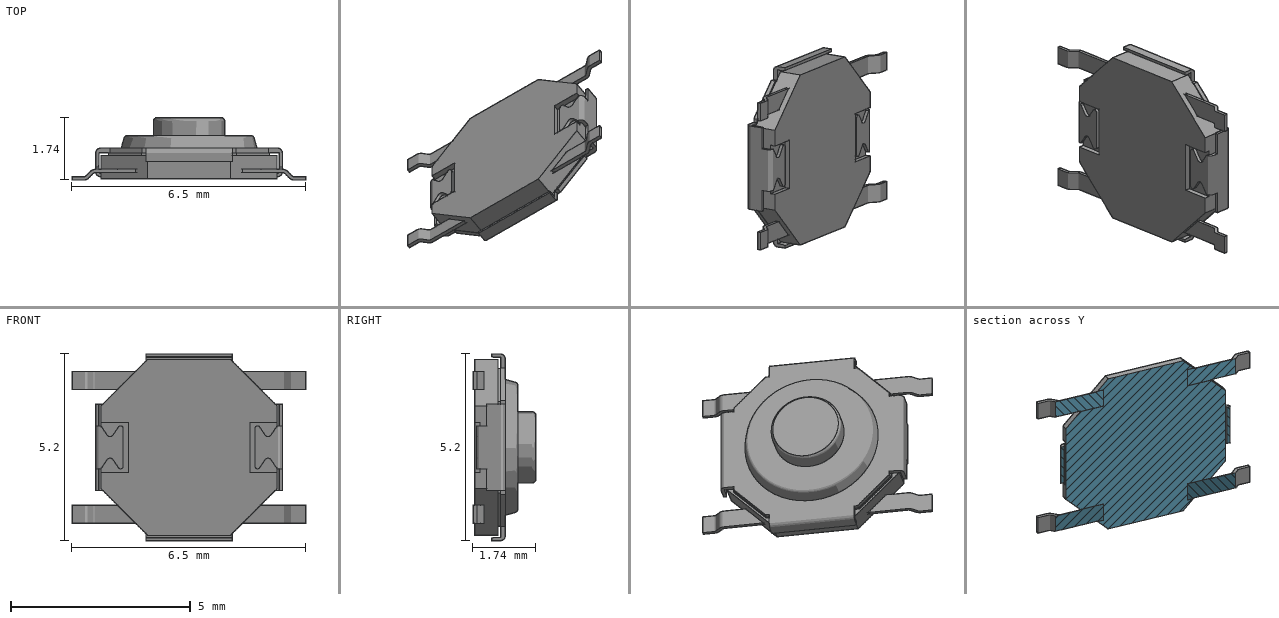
import cadquery as cq
import math


base_half = 2.45
base_corner = 1.3
base_top = 0.65
step_half_x = 2.24
step_half_z = 2.2
step_corner = 0.92

plate_bottom = 0.72
plate_top = 0.86
plate_half = 2.205
plate_corner = 0.9
dome_top = 1.2
dome_bottom_radius = 1.89
dome_top_radius = 1.795
dome_rim_fillet = 0.1

sheet = 0.1
bend_radius = 0.15
flap_outer = 2.6
flap_inner = flap_outer - sheet
flap_half_width = 1.2
side_flap_tip = 0.33
end_flap_tip = 0.475
tip_bevel_depth = 0.02
tip_bevel_length = 0.065

hook_half_width = 0.6
hook_bottom = 0.05
hook_top = hook_bottom + sheet
hook_bend_x = flap_outer - bend_radius
hook_bend_y = hook_bottom + bend_radius
hook_end = 1.83
notch_x = 2.2
notch_slope = 1.5
notch_fillet = 0.105
hook_tip_fillet = 0.07

pocket_half_width = 0.695
pocket_end = 1.69

button_radius = 0.995
button_top = 1.7
button_chamfer = 0.065
button_fillet = 0.08

terminal_thickness = 0.1
terminal_width = 0.51
terminal_z = 1.86
terminal_bottom = 0.17
terminal_inner_end = 1.3
joggle_start = 2.6
terminal_outer_end = 3.25
foot_bottom = -0.04
joggle_inner_radius = 0.1
joggle_angle = math.radians(45)


def prism(outline, bottom, top):
    """Extrude an X-Z outline from Y = bottom to Y = top."""
    return cq.Workplane("XZ", origin=(0, bottom, 0)).polyline(outline).close().extrude(bottom - top)


def cylinder(radius, bottom, top):
    return cq.Workplane("XZ", origin=(0, bottom, 0)).circle(radius).extrude(bottom - top)


def octagon(half_x, half_z, corner):
    """Corners of a rectangle in X-Z with its corners cut off at 45 degrees."""
    inner_x = half_x - corner
    inner_z = half_z - corner
    return [
        (half_x, inner_z), (inner_x, half_z), (-inner_x, half_z), (-half_x, inner_z),
        (-half_x, -inner_z), (-inner_x, -half_z), (inner_x, -half_z), (half_x, -inner_z),
    ]


def turned(body, angle):
    """Turn a body about the Y axis through the centre of the part."""
    return body.rotate((0, 0, 0), (0, 1, 0), angle)


def arc_point(centre_x, centre_y, radius, angle):
    return (centre_x + radius * math.sin(angle), centre_y + radius * math.cos(angle))


def make_terminal():
    """Terminal on the +X, +Z side."""
    outer_radius = joggle_inner_radius + terminal_thickness
    upper_y = terminal_bottom - joggle_inner_radius
    lower_y = foot_bottom + outer_radius

    bend_run = (joggle_inner_radius + outer_radius) * math.sin(joggle_angle)
    bend_drop = (joggle_inner_radius + outer_radius) * (1 - math.cos(joggle_angle))
    slope_drop = terminal_bottom - foot_bottom - bend_drop
    lower_x = joggle_start + bend_run + slope_drop / math.tan(joggle_angle)

    def upper(radius, angle):
        return arc_point(joggle_start, upper_y, radius, angle)

    def lower(radius, angle):
        return arc_point(lower_x, lower_y, -radius, angle)

    half_angle = joggle_angle / 2
    profile = (
        cq.Workplane("XY", origin=(0, 0, terminal_z))
        .moveTo(terminal_inner_end, terminal_bottom + terminal_thickness)
        .lineTo(*upper(outer_radius, 0))
        .threePointArc(upper(outer_radius, half_angle), upper(outer_radius, joggle_angle))
        .lineTo(*lower(joggle_inner_radius, joggle_angle))
        .threePointArc(lower(joggle_inner_radius, half_angle), lower(joggle_inner_radius, 0))
        .lineTo(terminal_outer_end, foot_bottom + terminal_thickness)
        .lineTo(terminal_outer_end, foot_bottom)
        .lineTo(*lower(outer_radius, 0))
        .threePointArc(lower(outer_radius, half_angle), lower(outer_radius, joggle_angle))
        .lineTo(*upper(joggle_inner_radius, joggle_angle))
        .threePointArc(upper(joggle_inner_radius, half_angle), upper(joggle_inner_radius, 0))
        .lineTo(terminal_inner_end, terminal_bottom)
        .close()
    )
    return profile.extrude(terminal_width / 2, both=True)


def make_terminals():
    first = make_terminal()
    mirrored = first.mirror("XY")
    terminals = []
    for angle in (0, 180):
        terminals.append(turned(first, angle))
        terminals.append(turned(mirrored, angle))
    return terminals


def make_base(terminals):
    block = prism(octagon(base_half, base_half, base_corner), 0, base_top)
    step = prism(octagon(step_half_x, step_half_z, step_corner), base_top, plate_bottom)
    base = block.union(step)

    for side in (-1, 1):
        pocket = [
            (side * pocket_end, -pocket_half_width),
            (side * base_half, -pocket_half_width),
            (side * base_half, pocket_half_width),
            (side * pocket_end, pocket_half_width),
        ]
        base = base.cut(prism(pocket, 0, hook_top))

    for terminal in terminals:
        base = base.cut(terminal)
    return base


def make_flap(tip):
    """Flap on the +X side, bent down from the plate and bevelled inside its tip."""
    mid_bend = arc_point(flap_outer - bend_radius, plate_top - bend_radius, bend_radius, math.pi / 4)
    return (
        cq.Workplane("XY")
        .moveTo(plate_half, plate_bottom)
        .lineTo(flap_inner, plate_bottom)
        .lineTo(flap_inner, tip + tip_bevel_length)
        .lineTo(flap_inner + tip_bevel_depth, tip)
        .lineTo(flap_outer, tip)
        .lineTo(flap_outer, plate_top - bend_radius)
        .threePointArc(mid_bend, (flap_outer - bend_radius, plate_top))
        .lineTo(plate_half, plate_top)
        .close()
        .extrude(flap_half_width, both=True)
    )


def make_hook():
    """Hook on the +X side: a strip, a bend and a notched tongue under the base."""
    inner_radius = bend_radius - sheet
    mid_outer = arc_point(hook_bend_x, hook_bend_y, bend_radius, 3 * math.pi / 4)
    mid_inner = arc_point(hook_bend_x, hook_bend_y, inner_radius, 3 * math.pi / 4)
    strip_top = side_flap_tip + tip_bevel_length
    strip = (
        cq.Workplane("XY")
        .moveTo(flap_inner, strip_top)
        .lineTo(flap_outer, strip_top)
        .lineTo(flap_outer, hook_bend_y)
        .threePointArc(mid_outer, (hook_bend_x, hook_bottom))
        .lineTo(hook_bend_x, hook_top)
        .threePointArc(mid_inner, (flap_inner, hook_bend_y))
        .close()
        .extrude(hook_half_width, both=True)
    )

    notch_z = hook_half_width - notch_slope * (hook_bend_x - notch_x)
    corner_z = notch_z + notch_slope * (notch_x - hook_end)
    outline = [
        (hook_bend_x, hook_half_width), (notch_x, notch_z), (hook_end, corner_z),
        (hook_end, -corner_z), (notch_x, -notch_z), (hook_bend_x, -hook_half_width),
    ]
    tongue = prism(outline, hook_bottom, hook_top)
    tongue = tongue.edges("|Y exc (>X or <X)").fillet(notch_fillet)
    tongue = tongue.edges("|Y and <X").fillet(hook_tip_fillet)
    return strip.union(tongue)


def make_dome():
    """Tapered round boss on the plate with a rounded rim."""
    dome = (
        cq.Workplane("XZ", origin=(0, plate_top, 0))
        .circle(dome_bottom_radius)
        .workplane(offset=plate_top - dome_top)
        .circle(dome_top_radius)
        .loft()
    )
    return dome.faces(">Y").edges().fillet(dome_rim_fillet)


def make_cover():
    cover = prism(octagon(plate_half, plate_half, plate_corner), plate_bottom, plate_top)
    cover = cover.union(make_dome())

    side_flap = make_flap(side_flap_tip).union(make_hook())
    end_flap = make_flap(end_flap_tip)
    for angle in (0, 180):
        cover = cover.union(turned(side_flap, angle))
        cover = cover.union(turned(end_flap, angle + 90))

    return cover.cut(cylinder(button_radius, plate_bottom, dome_top))


def make_button():
    """Round button standing on the base step and passing through the dome."""
    button = cylinder(button_radius, plate_bottom, button_top)
    button = button.faces(">Y").edges().chamfer(button_chamfer)
    return button.edges("%CIRCLE exc (>Y or <Y)").fillet(button_fillet)


terminals = make_terminals()
base = make_base(terminals)
cover = make_cover()
button = make_button()

result = cq.Compound.makeCompound(
    [base.val(), cover.val(), button.val(), *[terminal.val() for terminal in terminals]]
)